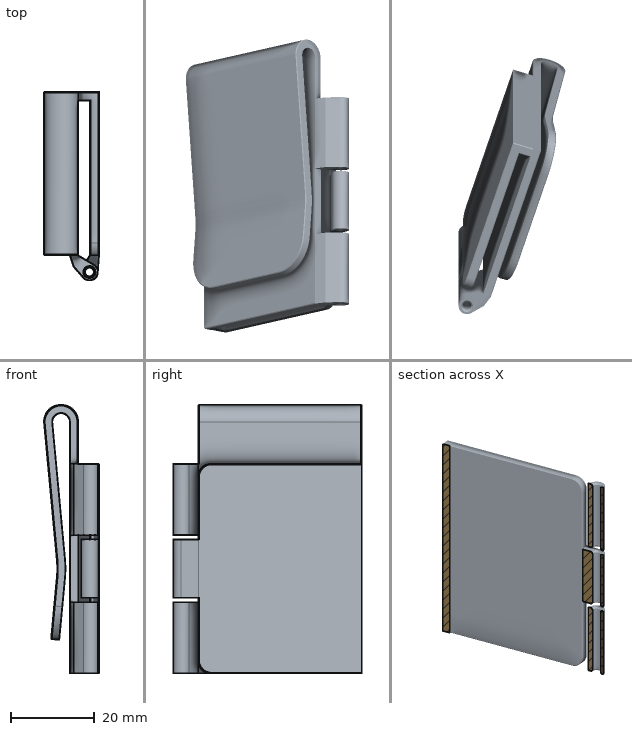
import cadquery as cq
import math


thickness = 2.0
wall_thickness = 2.2
front_thickness = 2.2
channel_depth = 5.0
edge_break = 0.2
body_width = 39.0
body_height = 50.0
front_corner_radius = 3.0

clip_standoff = 6.17
loop_z = 60.0
bend_z = body_height / 2
bend_radius = 20.0
bend_clearance = 1.0
tip_z = 8.0
tip_corner_radius = 8.0

hinge_reach = 6.0
barrel_radius = 2.0
barrel_x = 4.7
pin_diameter = 2.1
pin_chamfer = 0.4
middle_knuckle_length = 14.0
knuckle_gap = 1.0
leaf_corner = (0.9, -2.7)

front_outer_x = thickness + channel_depth
front_inner_x = front_outer_x - front_thickness
barrel_center = (barrel_x, barrel_radius - hinge_reach)
middle_bottom = (body_height - middle_knuckle_length) / 2
middle_top = middle_bottom + middle_knuckle_length
lower_top = middle_bottom - knuckle_gap
upper_bottom = middle_top + knuckle_gap


def polar(center, radius, angle):
    """Point at the given angle (radians) on a circle."""
    return (center[0] + radius * math.cos(angle), center[1] + radius * math.sin(angle))


def tangent_angle(point, center, radius, side):
    """Angle on the circle where the tangent from an outside point touches it."""
    dx = point[0] - center[0]
    dy = point[1] - center[1]
    return math.atan2(dy, dx) + side * math.acos(radius / math.hypot(dx, dy))


def midpoint(first, second):
    """Point halfway between two points."""
    return ((first[0] + second[0]) / 2, (first[1] + second[1]) / 2)


def nearest_to(point):
    """Selector for the item nearest an (x, z) point in the middle of the body width."""
    return cq.selectors.NearestToPointSelector((point[0], body_width / 2, point[1]))


def box(x_range, y_range, z_range):
    """Axis-aligned block between the given limits."""
    size = [high - low for low, high in (x_range, y_range, z_range)]
    corner = (x_range[0], y_range[0], z_range[0])
    return cq.Workplane("XY").box(*size, centered=False).translate(corner)


def make_back_plate():
    """Plate carrying the outer leaves, with its lower clip-side edge broken."""
    plate = box((0, thickness), (0, body_width), (0, body_height))
    return plate.edges("<X and <Z").chamfer(edge_break)


def make_channel():
    """Side wall and front plate that fold around from the back plate, rims broken."""
    wall_inner_y = body_width - wall_thickness
    wall = box((thickness, front_outer_x), (wall_inner_y, body_width), (0, body_height))
    front = box((front_inner_x, front_outer_x), (0, body_width), (0, body_height))
    front = front.edges("|X and <Y").fillet(front_corner_radius)
    channel = wall.union(front).clean()

    front_inner_face = nearest_to((front_inner_x, body_height / 2))
    wall_inner_face = cq.selectors.NearestToPointSelector(
        ((thickness + front_inner_x) / 2, wall_inner_y, body_height / 2)
    )
    rims = channel.faces(">X").edges("not >Y")
    rims = rims.add(channel.faces(front_inner_face).edges("not >Y"))
    rims = rims.add(channel.faces(">Y").edges("|X"))
    rims = rims.add(channel.faces(wall_inner_face).edges("|X"))
    return rims.chamfer(edge_break)


def make_clip():
    """Riser, top loop and bent spring leg in one strip of constant thickness."""
    outer_start = (-clip_standoff, loop_z)
    inner_bend_radius = bend_radius + thickness
    bend_center = (-bend_clearance - inner_bend_radius, bend_z)
    tilt = tangent_angle(outer_start, bend_center, bend_radius, -1)

    outer_upper = polar(bend_center, bend_radius, tilt)
    outer_bend_middle = polar(bend_center, bend_radius, 0)
    outer_lower = polar(bend_center, bend_radius, -tilt)
    inner_upper = polar(bend_center, inner_bend_radius, tilt)
    inner_start_x = inner_upper[0] - (loop_z - inner_upper[1]) * math.tan(tilt)
    inner_lower = polar(bend_center, inner_bend_radius, -tilt)
    inner_tip = (inner_lower[0] - (inner_lower[1] - tip_z) * math.tan(tilt), tip_z)
    outer_tip = polar(inner_tip, thickness, math.pi - tilt)

    outer_loop_radius = (thickness + clip_standoff) / 2
    outer_loop_top = (thickness - outer_loop_radius, loop_z + outer_loop_radius)
    inner_loop_radius = -inner_start_x / 2
    inner_loop_top = (-inner_loop_radius, loop_z + inner_loop_radius)

    strip = (
        cq.Workplane("XZ")
        .moveTo(0, body_height)
        .lineTo(thickness, body_height)
        .lineTo(thickness, loop_z)
        .threePointArc(outer_loop_top, outer_start)
        .lineTo(*outer_upper)
        .threePointArc(outer_bend_middle, outer_lower)
        .lineTo(*outer_tip)
        .lineTo(*inner_tip)
        .lineTo(*inner_lower)
        .threePointArc(polar(bend_center, inner_bend_radius, 0), inner_upper)
        .lineTo(inner_start_x, loop_z)
        .threePointArc(inner_loop_top, (0, loop_z))
        .close()
        .extrude(-body_width)
    )
    tip_face = strip.faces(nearest_to(midpoint(inner_tip, outer_tip)))
    strip = tip_face.edges("not |Y").fillet(tip_corner_radius)

    outer_face_points = (
        (thickness, (body_height + loop_z) / 2),
        outer_loop_top,
        midpoint(outer_start, outer_upper),
        outer_bend_middle,
        midpoint(outer_lower, outer_tip),
    )
    outer_rim = strip.edges(nearest_to(outer_tip))
    for point in outer_face_points:
        outer_rim = outer_rim.add(strip.faces(nearest_to(point)).edges("not |Y"))
    return outer_rim.chamfer(edge_break)


def make_outer_leaf(bottom, top):
    """Knuckle joined to the back plate, with two flats on its clip side."""
    inner_root = (thickness, 0)
    left = tangent_angle(leaf_corner, barrel_center, barrel_radius, 1)
    right = tangent_angle(inner_root, barrel_center, barrel_radius, -1)
    return (
        cq.Workplane("XY")
        .workplane(offset=bottom)
        .moveTo(0, 0)
        .lineTo(*leaf_corner)
        .lineTo(*polar(barrel_center, barrel_radius, left))
        .threePointArc(
            polar(barrel_center, barrel_radius, -math.pi / 4),
            polar(barrel_center, barrel_radius, right),
        )
        .lineTo(*inner_root)
        .close()
        .extrude(top - bottom)
    )


def make_middle_leaf():
    """Knuckle joined to the front plate, tapering tangentially into the barrel."""
    inner_root = (front_inner_x, 0)
    outer_root = (front_outer_x, 0)
    left = tangent_angle(inner_root, barrel_center, barrel_radius, 1)
    right = tangent_angle(outer_root, barrel_center, barrel_radius, -1)
    return (
        cq.Workplane("XY")
        .workplane(offset=middle_bottom)
        .moveTo(front_inner_x, edge_break)
        .lineTo(*inner_root)
        .lineTo(*polar(barrel_center, barrel_radius, left))
        .threePointArc(
            polar(barrel_center, barrel_radius, -math.pi / 2),
            polar(barrel_center, barrel_radius, right),
        )
        .lineTo(*outer_root)
        .lineTo(front_outer_x, edge_break)
        .close()
        .extrude(middle_knuckle_length)
    )


def make_pin_hole(bottom, top):
    """Pin hole through one knuckle, chamfered at both ends."""
    radius = pin_diameter / 2
    mouth_radius = radius + pin_chamfer
    profile = (
        cq.Workplane("XZ")
        .moveTo(0, bottom)
        .lineTo(mouth_radius, bottom)
        .lineTo(radius, bottom + pin_chamfer)
        .lineTo(radius, top - pin_chamfer)
        .lineTo(mouth_radius, top)
        .lineTo(0, top)
        .close()
    )
    return profile.revolve(360, (0, 0, 0), (0, 1, 0)).translate((*barrel_center, 0))


outer_knuckles = ((0, lower_top), (upper_bottom, body_height))

result = make_back_plate().union(make_clip()).union(make_channel()).union(make_middle_leaf())
result = result.cut(make_pin_hole(middle_bottom, middle_top))
for bottom, top in outer_knuckles:
    result = result.union(make_outer_leaf(bottom, top)).cut(make_pin_hole(bottom, top))